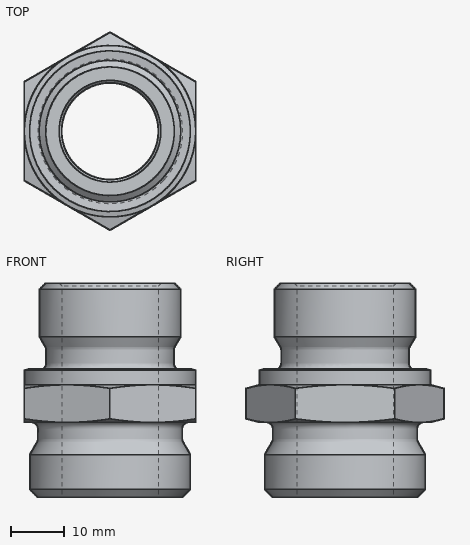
import cadquery as cq
import math

OVERALL_LENGTH = 40.0
LOWER_THREAD_END = 8.0
HEX_BOTTOM = 14.0
HEX_TOP = 21.0
COLLAR_TOP = 24.0
UPPER_THREAD_START = 30.0

BORE_DIA = 18.0
LOWER_THREAD_DIA = 30.0
LOWER_GROOVE_DIA = 27.0
UPPER_THREAD_DIA = 26.41
UPPER_GROOVE_DIA = 23.9
COLLAR_DIA = 32.0
SEALING_EDGE_DIA = 30.0

HEX_ACROSS_FLATS = 32.0
HEX_SIDES = 6
HEX_CHAMFER_ANGLE = 15.0

LOWER_END_CHAMFER = 1.5
UPPER_END_CHAMFER = 1.2
BORE_CHAMFER = 0.5
RUNOUT_ANGLE = 30.0
COLLAR_RIM_ANGLE = 15.0
RECESS_ANGLE = 7.5
RUNOUT_FILLET = 1.0
LOWER_SHOULDER_FILLET = 1.2
UPPER_SHOULDER_FILLET = 1.2

TOLERANCE = 1e-3


def slope(angle):
    """Tangent of an angle given in degrees."""
    return math.tan(math.radians(angle))


lower_runout_end = LOWER_THREAD_END + (LOWER_THREAD_DIA - LOWER_GROOVE_DIA) / 2 / slope(RUNOUT_ANGLE)
upper_runout_end = UPPER_THREAD_START - (UPPER_THREAD_DIA - UPPER_GROOVE_DIA) / 2 / slope(RUNOUT_ANGLE)
collar_rim = COLLAR_TOP - (COLLAR_DIA - SEALING_EDGE_DIA) / 2 * slope(COLLAR_RIM_ANGLE)
recess_bottom = COLLAR_TOP - (SEALING_EDGE_DIA - UPPER_GROOVE_DIA) / 2 * slope(RECESS_ANGLE)


def revolve_profile(points):
    """Turn a closed outline of (radius, height) points about the Z axis."""
    return cq.Workplane("XZ").polyline(points).close().revolve(360, (0, 0, 0), (0, 1, 0))


def fillet_circle(body, diameter, height, fillet_radius):
    """Round the circular edge of the given diameter at the given height."""

    def is_wanted(edge):
        is_circle = edge.geomType() == "CIRCLE"
        same_height = abs(edge.Center().z - height) < TOLERANCE
        return is_circle and same_height and abs(edge.radius() - diameter / 2) < TOLERANCE

    return body.edges().filter(is_wanted).fillet(fillet_radius)


def make_turned_body():
    """Both threaded ends, their grooves and the collar with its raised sealing edge."""
    lower_radius = LOWER_THREAD_DIA / 2
    upper_radius = UPPER_THREAD_DIA / 2
    core_radius = SEALING_EDGE_DIA / 2
    body = revolve_profile([
        (0, 0),
        (lower_radius - LOWER_END_CHAMFER, 0),
        (lower_radius, LOWER_END_CHAMFER),
        (lower_radius, LOWER_THREAD_END),
        (LOWER_GROOVE_DIA / 2, lower_runout_end),
        (LOWER_GROOVE_DIA / 2, HEX_BOTTOM),
        (core_radius, HEX_BOTTOM),
        (core_radius, HEX_TOP),
        (COLLAR_DIA / 2, HEX_TOP),
        (COLLAR_DIA / 2, collar_rim),
        (SEALING_EDGE_DIA / 2, COLLAR_TOP),
        (UPPER_GROOVE_DIA / 2, recess_bottom),
        (UPPER_GROOVE_DIA / 2, upper_runout_end),
        (upper_radius, UPPER_THREAD_START),
        (upper_radius, OVERALL_LENGTH - UPPER_END_CHAMFER),
        (upper_radius - UPPER_END_CHAMFER, OVERALL_LENGTH),
        (0, OVERALL_LENGTH),
    ])
    body = fillet_circle(body, LOWER_GROOVE_DIA, lower_runout_end, RUNOUT_FILLET)
    body = fillet_circle(body, LOWER_GROOVE_DIA, HEX_BOTTOM, LOWER_SHOULDER_FILLET)
    body = fillet_circle(body, UPPER_GROOVE_DIA, recess_bottom, UPPER_SHOULDER_FILLET)
    return fillet_circle(body, UPPER_GROOVE_DIA, upper_runout_end, RUNOUT_FILLET)


def make_hexagon():
    """Hexagon with flats facing +X and -X and corners chamfered at both ends."""
    flat_radius = HEX_ACROSS_FLATS / 2
    corner_radius = flat_radius / math.cos(math.pi / HEX_SIDES)
    prism = (
        cq.Workplane("XY", origin=(0, 0, HEX_BOTTOM))
        .polygon(HEX_SIDES, 2 * corner_radius)
        .extrude(HEX_TOP - HEX_BOTTOM)
        .rotate((0, 0, 0), (0, 0, 1), 180 / HEX_SIDES)
    )
    chamfer_drop = (corner_radius - flat_radius) * slope(HEX_CHAMFER_ANGLE)
    envelope = revolve_profile([
        (0, HEX_BOTTOM),
        (flat_radius, HEX_BOTTOM),
        (corner_radius, HEX_BOTTOM + chamfer_drop),
        (corner_radius, HEX_TOP - chamfer_drop),
        (flat_radius, HEX_TOP),
        (0, HEX_TOP),
    ])
    return prism.intersect(envelope)


def make_bore():
    """Through bore with a countersunk mouth at the upper end."""
    bore_radius = BORE_DIA / 2
    return revolve_profile([
        (0, 0),
        (bore_radius, 0),
        (bore_radius, OVERALL_LENGTH - BORE_CHAMFER),
        (bore_radius + BORE_CHAMFER, OVERALL_LENGTH),
        (0, OVERALL_LENGTH),
    ])


result = make_turned_body().union(make_hexagon()).cut(make_bore())